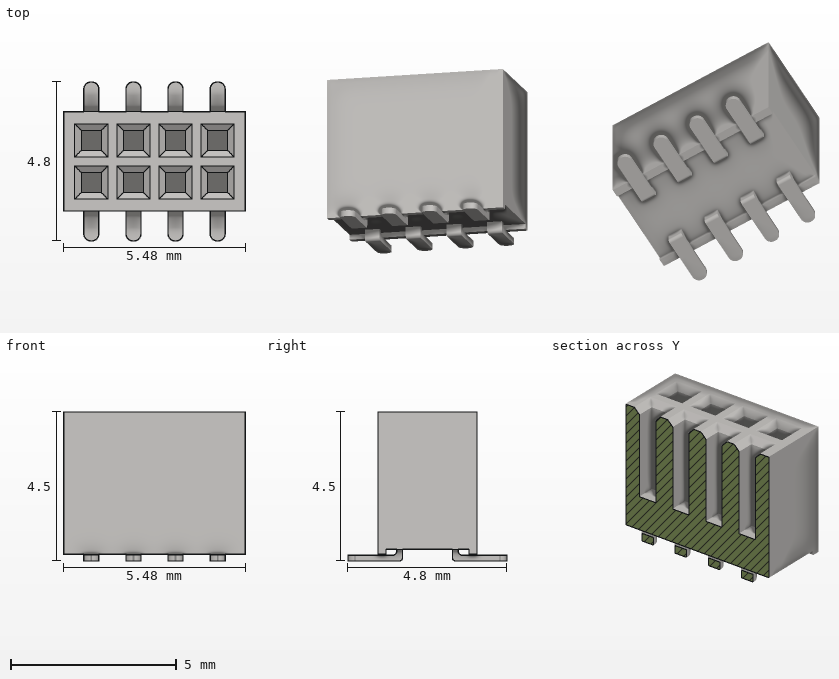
import cadquery as cq

columns = 4
pitch = 1.27
row_y = pitch / 2

body_length = 5.48
body_width = 3.0
total_height = 4.5
body_bottom = 0.2
body_height = total_height - body_bottom

channel_roof = 0.35
rail_thickness = 0.25
channel_width = body_width - 2 * rail_thickness

mouth_size = 1.0
bore_size = 0.6
lead_in_depth = (mouth_size - bore_size) / 2
socket_depth = 3.0

tail_span = 4.8
tail_width = 0.46
tail_thickness = 0.18
tail_inner_y = 0.75
tail_tip_y = tail_span / 2
tail_embed = 0.3
bend_outer_radius = 0.1
bend_inner_radius = 0.12
tip_flat = 0.02
tip_radius = (tail_width - tip_flat) / 2


def make_housing():
    """Rectangular housing with a channel running the full length of its underside."""
    base = cq.Workplane("XY", origin=(0, 0, body_bottom))
    block = base.rect(body_length, body_width).extrude(body_height)
    channel = cq.Workplane("XY").rect(body_length, channel_width).extrude(channel_roof)
    return block.cut(channel)


def make_socket(x, y):
    """Square blind bore with a tapered lead-in at the top face."""
    top = cq.Workplane("XY", origin=(x, y, total_height))
    bore = top.rect(bore_size, bore_size).extrude(-socket_depth)
    lead_in = (
        top.rect(mouth_size, mouth_size)
        .workplane(offset=-lead_in_depth)
        .rect(bore_size, bore_size)
        .loft(ruled=True)
    )
    return bore.union(lead_in)


def make_tail(x):
    """L-shaped tail on the +Y side with a rounded bend and a rounded tip."""
    upright_outer_y = tail_inner_y + tail_thickness
    upright_top = channel_roof + tail_embed
    tail = (
        cq.Workplane("YZ", origin=(x, 0, 0))
        .moveTo(tail_inner_y, upright_top)
        .lineTo(tail_inner_y, bend_outer_radius)
        .radiusArc((tail_inner_y + bend_outer_radius, 0), -bend_outer_radius)
        .lineTo(tail_tip_y, 0)
        .lineTo(tail_tip_y, tail_thickness)
        .lineTo(upright_outer_y + bend_inner_radius, tail_thickness)
        .radiusArc((upright_outer_y, tail_thickness + bend_inner_radius), bend_inner_radius)
        .lineTo(upright_outer_y, upright_top)
        .close()
        .extrude(tail_width / 2, both=True)
    )
    return tail.faces(">Y").edges("|Z").fillet(tip_radius)


result = make_housing()
for column in range(columns):
    column_x = (column - (columns - 1) / 2) * pitch
    tail = make_tail(column_x)
    result = result.union(tail).union(tail.mirror("XZ"))
    for socket_y in (-row_y, row_y):
        result = result.cut(make_socket(column_x, socket_y))